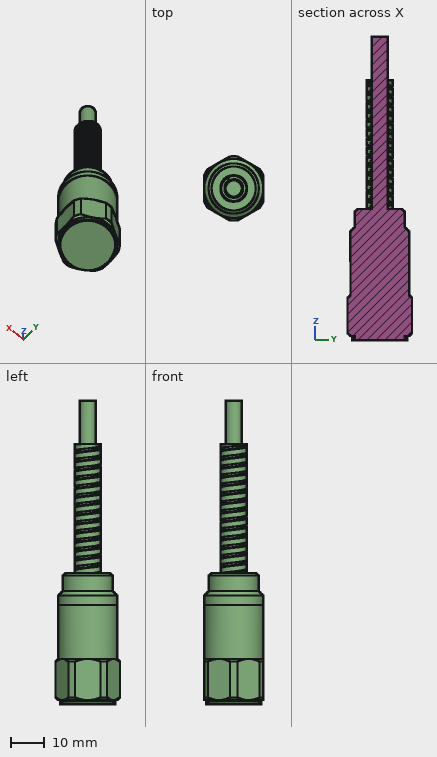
import cadquery as cq
import math

LIP_TOP_Z = 0.8
HEX_BOTTOM_Z = 1.25
HEX_TOP_Z = 13.42
SEAM_Z = 29.33
SHOULDER_Z = 32.06
NECK_TOP_Z = 38.75
ARMOUR_TOP_Z = 76.75
CABLE_TOP_Z = 89.61

LIP_DIAMETER = 16.26
UNDERCUT_DIAMETER = 14.76
BARREL_DIAMETER = 17.46
CAP_DIAMETER = 17.53
NECK_DIAMETER = 14.81
NECK_RIM_DIAMETER = 13.0
NECK_RIM_CHAMFER_HEIGHT = 0.76
CABLE_DIAMETER = 4.83

HEX_ACROSS_FLATS = BARREL_DIAMETER
HEX_CORNER_DIAMETER = 19.04

ARMOUR_OUTER_RADIUS = 3.92
ARMOUR_INNER_RADIUS = 5.11 / 2
STRIP_THICKNESS = 0.2
PITCH = 2.64
GROOVE_WIDTH = 0.75
INNER_FLANGE_HEIGHT = 1.2
WINDING_PHASE = 0.37


def make_hexagon_grip():
    height = HEX_TOP_Z - HEX_BOTTOM_Z
    flat_radius = HEX_ACROSS_FLATS / 2
    corner_radius = HEX_CORNER_DIAMETER / 2
    chamfer_height = corner_radius - flat_radius
    prism = (
        cq.Workplane("XY")
        .workplane(offset=HEX_BOTTOM_Z)
        .polygon(6, HEX_ACROSS_FLATS / math.cos(math.pi / 6))
        .extrude(height)
        .rotate((0, 0, 0), (0, 0, 1), 30)
    )
    blank = (
        cq.Workplane("XZ")
        .moveTo(0, HEX_BOTTOM_Z)
        .lineTo(flat_radius, HEX_BOTTOM_Z)
        .lineTo(corner_radius, HEX_BOTTOM_Z + chamfer_height)
        .lineTo(corner_radius, HEX_TOP_Z - chamfer_height)
        .lineTo(flat_radius, HEX_TOP_Z)
        .lineTo(0, HEX_TOP_Z)
        .close()
        .revolve(360, (0, 0, 0), (0, 1, 0))
    )
    return prism.intersect(blank)


def make_turned_core():
    lip_radius = LIP_DIAMETER / 2
    undercut_radius = UNDERCUT_DIAMETER / 2
    barrel_radius = BARREL_DIAMETER / 2
    cap_radius = CAP_DIAMETER / 2
    neck_radius = NECK_DIAMETER / 2
    rim_radius = NECK_RIM_DIAMETER / 2
    cable_radius = CABLE_DIAMETER / 2
    shoulder_rise = cap_radius - neck_radius
    return (
        cq.Workplane("XZ")
        .moveTo(0, 0)
        .lineTo(lip_radius, 0)
        .lineTo(lip_radius, LIP_TOP_Z)
        .lineTo(undercut_radius, LIP_TOP_Z)
        .lineTo(undercut_radius, HEX_BOTTOM_Z)
        .lineTo(barrel_radius, HEX_BOTTOM_Z)
        .lineTo(barrel_radius, SEAM_Z)
        .lineTo(cap_radius, SEAM_Z)
        .lineTo(cap_radius, SHOULDER_Z)
        .lineTo(neck_radius, SHOULDER_Z + shoulder_rise)
        .lineTo(neck_radius, NECK_TOP_Z - NECK_RIM_CHAMFER_HEIGHT)
        .lineTo(rim_radius, NECK_TOP_Z)
        .lineTo(cable_radius, NECK_TOP_Z)
        .lineTo(cable_radius, CABLE_TOP_Z)
        .lineTo(0, CABLE_TOP_Z)
        .close()
        .revolve(360, (0, 0, 0), (0, 1, 0))
    )


def make_armour():
    armour_height = ARMOUR_TOP_Z - NECK_TOP_Z
    turns = math.ceil(armour_height / PITCH) + 2
    start_z = NECK_TOP_Z + WINDING_PHASE - PITCH
    web_underside_z = start_z - STRIP_THICKNESS
    skirt_bottom_z = start_z - (PITCH - GROOVE_WIDTH)
    flange_top_z = start_z + INNER_FLANGE_HEIGHT
    skirt_inner_radius = ARMOUR_OUTER_RADIUS - STRIP_THICKNESS
    flange_outer_radius = ARMOUR_INNER_RADIUS + STRIP_THICKNESS
    section = (
        cq.Workplane("XZ")
        .moveTo(ARMOUR_OUTER_RADIUS, start_z)
        .lineTo(ARMOUR_OUTER_RADIUS, skirt_bottom_z)
        .lineTo(skirt_inner_radius, skirt_bottom_z)
        .lineTo(skirt_inner_radius, web_underside_z)
        .lineTo(ARMOUR_INNER_RADIUS, web_underside_z)
        .lineTo(ARMOUR_INNER_RADIUS, flange_top_z)
        .lineTo(flange_outer_radius, flange_top_z)
        .lineTo(flange_outer_radius, start_z)
        .close()
    )
    path = cq.Wire.makeHelix(PITCH, turns * PITCH, ARMOUR_OUTER_RADIUS, cq.Vector(0, 0, start_z))
    strip = section.sweep(cq.Workplane(obj=path), isFrenet=True)
    envelope = (
        cq.Workplane("XY")
        .workplane(offset=NECK_TOP_Z)
        .circle(2 * ARMOUR_OUTER_RADIUS)
        .extrude(armour_height)
    )
    return strip.intersect(envelope)


connector = make_turned_core().union(make_hexagon_grip())
armour = make_armour()

result = cq.Compound.makeCompound([connector.val(), armour.val()])